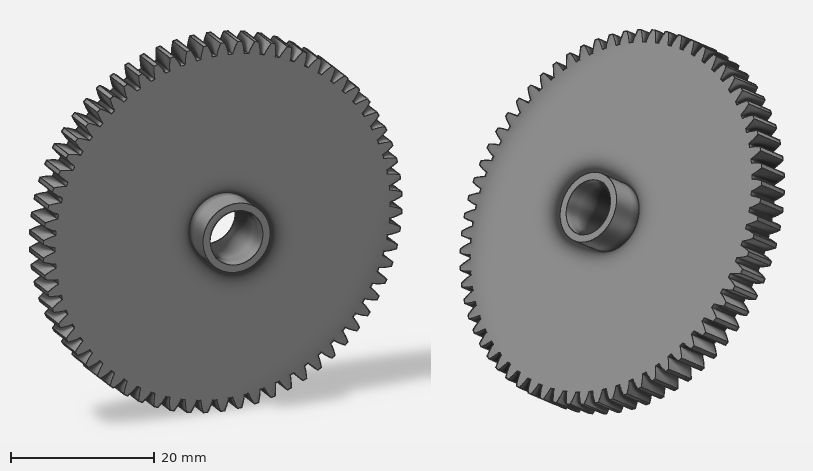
import cadquery as cq
import math

TEETH = 66
OUTSIDE_DIAMETER = 54.4
PRESSURE_ANGLE = math.radians(20)
DEDENDUM_FACTOR = 1.25
GEAR_WIDTH = 5.0
TOTAL_LENGTH = 10.0
HUB_DIAMETER = 10.2
BORE_DIAMETER = 8.0
FLANK_STEPS = 4

tip_radius = OUTSIDE_DIAMETER / 2
module = OUTSIDE_DIAMETER / (TEETH + 2)
pitch_radius = module * TEETH / 2
root_radius = pitch_radius - DEDENDUM_FACTOR * module
base_radius = pitch_radius * math.cos(PRESSURE_ANGLE)
pitch_angle = 2 * math.pi / TEETH


def involute(angle):
    return math.tan(angle) - angle


def half_tooth_angle(radius):
    """Half the angle that one involute tooth spans at the given radius."""
    local_pressure_angle = math.acos(base_radius / radius)
    return pitch_angle / 4 + involute(PRESSURE_ANGLE) - involute(local_pressure_angle)


def polar(radius, angle):
    """Point in the YZ plane, with the angle measured from +Z towards -Y."""
    return (-radius * math.sin(angle), radius * math.cos(angle))


def gear_outline():
    radii = [
        root_radius + (tip_radius - root_radius) * step / FLANK_STEPS
        for step in range(FLANK_STEPS + 1)
    ]
    root_half = half_tooth_angle(root_radius)
    outline = cq.Workplane("YZ").moveTo(*polar(root_radius, -root_half))
    for tooth in range(TEETH):
        center = tooth * pitch_angle
        rising = [polar(r, center - half_tooth_angle(r)) for r in radii]
        falling = [polar(r, center + half_tooth_angle(r)) for r in reversed(radii)]
        gap_middle = polar(root_radius, center + pitch_angle / 2)
        next_root = polar(root_radius, center + pitch_angle - root_half)
        outline = (
            outline.spline(rising[1:], includeCurrent=True)
            .threePointArc(polar(tip_radius, center), falling[0])
            .spline(falling[1:], includeCurrent=True)
            .threePointArc(gap_middle, next_root)
        )
    return outline.close()


gear = gear_outline().extrude(GEAR_WIDTH)

hub = (
    cq.Workplane("YZ", origin=(GEAR_WIDTH, 0, 0))
    .circle(HUB_DIAMETER / 2)
    .extrude(TOTAL_LENGTH - GEAR_WIDTH)
)

bore = cq.Workplane("YZ").circle(BORE_DIAMETER / 2).extrude(TOTAL_LENGTH)

result = gear.union(hub).cut(bore)